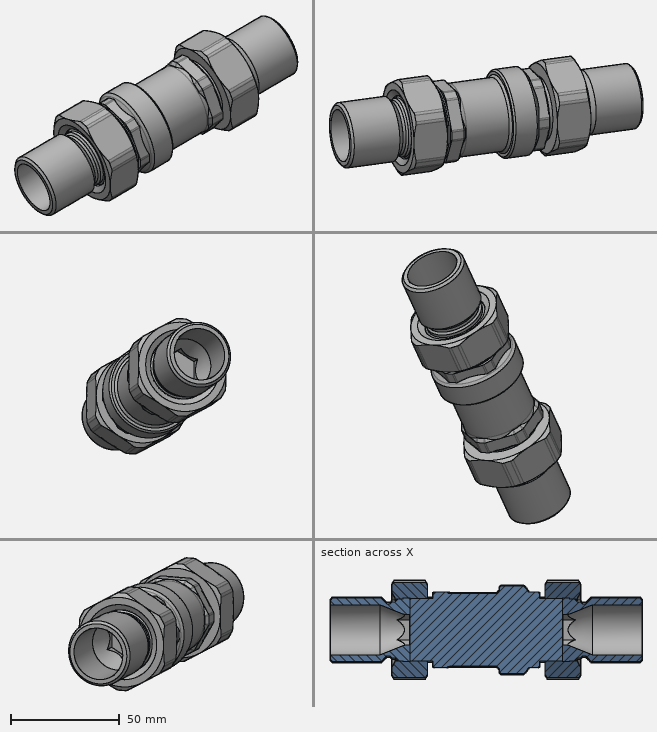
import cadquery as cq
import math

OVERALL_LENGTH = 143.6
HALF_LENGTH = OVERALL_LENGTH / 2
HEX_CHAMFER_SLOPE = math.tan(math.radians(30))

NUT_FLATS = 42.0
NUT_CORNERS = 45.8
NUT_CORNER_BLEND = 2.7
NUT_INNER_Y = 27.0
NUT_OUTER_Y = 43.5
NUT_MOUTH_DIAMETER = 35.2
NUT_NECK_BORE = 29.5

PIPE_DIAMETER = 30.5
PIPE_END_CHAMFER = 1.1
PIPE_INNER_Y = 48.3
NECK_DIAMETER = 25.4
NECK_INNER_Y = 44.2
STEP_DIAMETER = 27.3
STEP_DEPTH = 2.5
TAIL_COLLAR_LENGTH = 2.9
TAIL_BORE = 24.1
TAIL_BORE_DEPTH = 23
SOCKET_FLATS = 16.0
BORE_TAPER_ANGLE = 20

THREAD_DIAMETER = 30.2
THREAD_END_Y = 35.2
BODY_HEX_FLATS = 35.0
BODY_HEX_CORNERS = 37.8
BODY_HEX_CORNER_BLEND = 1.6
BODY_HEX_OUTER_Y = 24.1
BODY_HEX_INNER_CHAMFER = 1.5
WASHER_FACE_DIAMETER = 34.2
WASHER_THICKNESS = 0.6
BARREL_DIAMETER = 34.5
BARREL_END_Y = 16.2
SHOULDER_LENGTH = 0.5
FLANGE_DIAMETER = 41.4
FLANGE_TOP_Y = -5.9
FLANGE_BOTTOM_Y = -17.2
FLANGE_CHAMFER = 0.9
FLANGE_ROOT_BLEND = 1.1
FLANGE_BEVEL = 1.1
FLANGE_UNDERCUT_Y = -19.8


def revolve_about_y(outline):
    """Solid of revolution from (radius, y) points."""
    return cq.Workplane("XY").polyline(outline).close().revolve(360, (0, 0, 0), (0, 1, 0))


def cylinder(diameter, low_y, high_y):
    """Plain cylinder along Y."""
    return revolve_about_y([(0, low_y), (diameter / 2, low_y), (diameter / 2, high_y), (0, high_y)])


def frustum(low_radius, low_y, high_radius, high_y):
    """Truncated cone along Y."""
    return revolve_about_y([(0, low_y), (low_radius, low_y), (high_radius, high_y), (0, high_y)])


def plain_hexagon(across_flats, low_y, high_y):
    """Hexagonal prism along Y with two corners on the X axis."""
    corner_diameter = across_flats / math.cos(math.radians(30))
    plane = cq.Workplane("XZ", origin=(0, high_y, 0))
    return plane.polygon(6, corner_diameter).extrude(high_y - low_y)


def turn(shape, degrees):
    """Rotate a shape about the Y axis."""
    return shape.rotate((0, 0, 0), (0, 1, 0), degrees)


def wrench_hexagon(across_flats, across_corners, blend, low_y, high_y):
    """Hexagonal prism whose corners are cut flat and blended into the sides."""
    corner_cutter = turn(plain_hexagon(across_corners, low_y, high_y), 30)
    prism = plain_hexagon(across_flats, low_y, high_y).intersect(corner_cutter)
    return prism.edges("|Y").fillet(blend)


def make_nut():
    """Union nut of the +Y end."""
    face_radius = NUT_FLATS / 2
    corner_radius = NUT_CORNERS / 2 + 1.5
    drop = (corner_radius - face_radius) * HEX_CHAMFER_SLOPE
    turned_blank = revolve_about_y([
        (0, NUT_INNER_Y),
        (face_radius, NUT_INNER_Y),
        (corner_radius, NUT_INNER_Y + drop),
        (corner_radius, NUT_OUTER_Y - drop),
        (face_radius, NUT_OUTER_Y),
        (0, NUT_OUTER_Y),
    ])
    prism = turn(
        wrench_hexagon(NUT_FLATS, NUT_CORNERS, NUT_CORNER_BLEND, NUT_INNER_Y, NUT_OUTER_Y), 30
    )
    mouth_radius = NUT_MOUTH_DIAMETER / 2
    thread_radius = THREAD_DIAMETER / 2
    neck_radius = NUT_NECK_BORE / 2
    collar_y = THREAD_END_Y + TAIL_COLLAR_LENGTH
    bore = revolve_about_y([
        (0, NUT_INNER_Y),
        (thread_radius, NUT_INNER_Y),
        (thread_radius, collar_y),
        (neck_radius, collar_y),
        (neck_radius, NUT_OUTER_Y - (mouth_radius - neck_radius) * HEX_CHAMFER_SLOPE),
        (mouth_radius, NUT_OUTER_Y),
        (0, NUT_OUTER_Y),
    ])
    return prism.intersect(turned_blank).cut(bore)


def make_tail():
    """Pipe tail of the +Y end, with a tapered bore that ends in a hexagonal socket."""
    pipe_radius = PIPE_DIAMETER / 2
    neck_radius = NECK_DIAMETER / 2
    step_radius = STEP_DIAMETER / 2
    step_y = NECK_INNER_Y - STEP_DEPTH
    slide_radius = NUT_NECK_BORE / 2
    collar_radius = THREAD_DIAMETER / 2
    collar_y = THREAD_END_Y + TAIL_COLLAR_LENGTH
    outside = revolve_about_y([
        (0, THREAD_END_Y),
        (collar_radius, THREAD_END_Y),
        (collar_radius, collar_y),
        (slide_radius, collar_y),
        (slide_radius, step_y - (slide_radius - step_radius)),
        (step_radius, step_y),
        (step_radius, NECK_INNER_Y - (step_radius - neck_radius)),
        (neck_radius, NECK_INNER_Y),
        (neck_radius, PIPE_INNER_Y - (pipe_radius - neck_radius)),
        (pipe_radius, PIPE_INNER_Y),
        (pipe_radius, HALF_LENGTH - PIPE_END_CHAMFER),
        (pipe_radius - PIPE_END_CHAMFER, HALF_LENGTH),
        (0, HALF_LENGTH),
    ])
    bore_radius = TAIL_BORE / 2
    socket_radius = SOCKET_FLATS / 2
    bore_end_y = HALF_LENGTH - TAIL_BORE_DEPTH
    taper_end_y = bore_end_y - (bore_radius - socket_radius) / math.tan(math.radians(BORE_TAPER_ANGLE))
    bore = revolve_about_y([
        (0, taper_end_y),
        (socket_radius, taper_end_y),
        (bore_radius, bore_end_y),
        (bore_radius, HALF_LENGTH),
        (0, HALF_LENGTH),
    ])
    socket = turn(plain_hexagon(SOCKET_FLATS, THREAD_END_Y, bore_end_y), 30)
    return outside.cut(bore).cut(socket)


def make_body_hexagon(low_y):
    """Wrench hexagon of the +Y end, from low_y outward."""
    return wrench_hexagon(
        BODY_HEX_FLATS, BODY_HEX_CORNERS, BODY_HEX_CORNER_BLEND, low_y, BODY_HEX_OUTER_Y
    )


def make_body():
    """Valve body: barrel, flange, two wrench hexagons and two threaded ends."""
    barrel_radius = BARREL_DIAMETER / 2
    hex_radius = BODY_HEX_FLATS / 2
    shoulder_y = BARREL_END_Y + SHOULDER_LENGTH
    upper_hexagon = make_body_hexagon(shoulder_y).faces("<Y").chamfer(BODY_HEX_INNER_CHAMFER)
    hex_root = frustum(barrel_radius, BARREL_END_Y, hex_radius, shoulder_y + BODY_HEX_INNER_CHAMFER)
    washer_y = BODY_HEX_OUTER_Y + WASHER_THICKNESS
    washer = frustum(hex_radius, BODY_HEX_OUTER_Y, WASHER_FACE_DIAMETER / 2, washer_y)
    lower_hexagon = make_body_hexagon(-FLANGE_BOTTOM_Y).mirror("XZ")
    flange_radius = FLANGE_DIAMETER / 2
    flange = revolve_about_y([
        (0, FLANGE_TOP_Y),
        (flange_radius - FLANGE_CHAMFER, FLANGE_TOP_Y),
        (flange_radius, FLANGE_TOP_Y - FLANGE_CHAMFER),
        (flange_radius, FLANGE_BOTTOM_Y),
        (flange_radius - FLANGE_BEVEL, FLANGE_BOTTOM_Y - FLANGE_BEVEL),
        (hex_radius, FLANGE_UNDERCUT_Y),
        (0, FLANGE_UNDERCUT_Y),
    ])
    root_y = FLANGE_TOP_Y + FLANGE_ROOT_BLEND
    flange_root = frustum(barrel_radius + FLANGE_ROOT_BLEND, FLANGE_TOP_Y, barrel_radius, root_y)
    body = cylinder(BARREL_DIAMETER, FLANGE_TOP_Y, BARREL_END_Y)
    body = body.union(cylinder(THREAD_DIAMETER, -THREAD_END_Y, THREAD_END_Y))
    for hex_feature in (hex_root, upper_hexagon, washer):
        body = body.union(hex_feature)
    for flange_feature in (flange_root, flange, lower_hexagon, washer.mirror("XZ")):
        body = body.union(flange_feature)
    return body


body = make_body()
nuts = []
tails = []
for at_far_end in (True, False):
    nut = make_nut()
    tail = make_tail()
    nuts.append((nut if at_far_end else nut.mirror("XZ")).val())
    tails.append((tail if at_far_end else tail.mirror("XZ")).val())

result = cq.Compound.makeCompound([body.val(), *nuts, *tails])